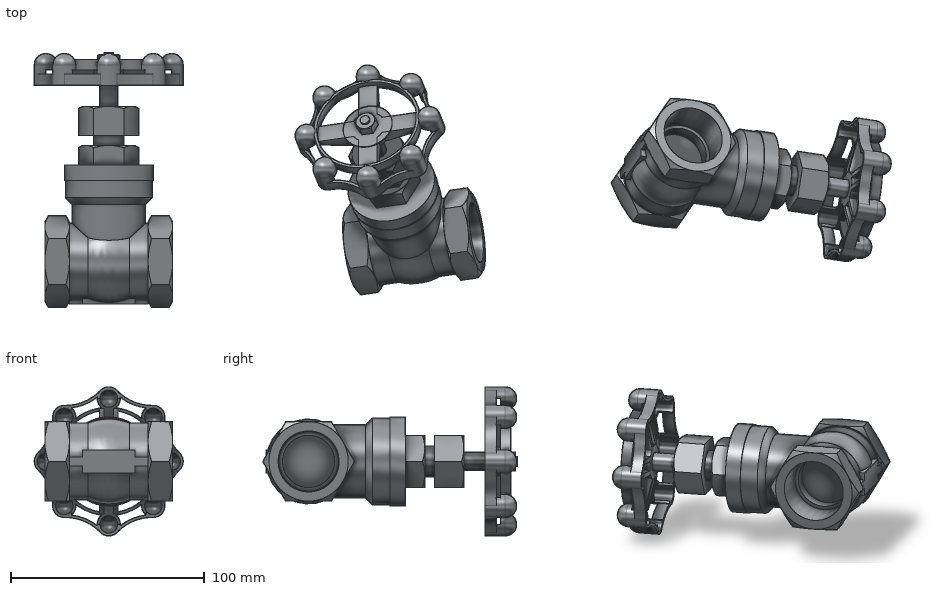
import cadquery as cq
import math


pipe_length = 66.0
pipe_diameter = 39.8
pipe_hex_flats = 41.0
pipe_hex_length = 12.7
bulge_length = 21.4
bulge_diameter = 43.9

thread_mouth_diameter = 31.5
thread_end_diameter = 30.5
thread_depth = 19.5
seat_diameter = 27.0
gate_thickness = 12.0

plate_height = 22.0
plate_length = 27.3
plate_width = 12.0
plate_strip_width = 4.6

neck_diameter = 38.0
collar_diameter = 45.0
collar_start_y = 33.0
flange_diameter = 46.0
flange_start_y = 42.0
flange_end_y = 50.0

nut_flats = 27.0
bonnet_nut_end_y = 60.0
gland_neck_diameter = 16.0
gland_nut_start_y = 65.0
gland_nut_end_y = 80.2
stem_diameter = 9.5
nut_chamfer_angle = 30.0

wheel_start_y = 91.0
rim_end_y = 97.0
ring_start_y = 99.0
ring_end_y = 104.5
ring_outer_diameter = 56.0
ring_inner_diameter = 53.0
wall = 1.5
knob_count = 8
knob_radius = 6.0
knob_circle_radius = 32.5
knob_dome_y = 101.5
rim_arc_radius = 25.0
spoke_count = 4
spoke_width = 9.7
spoke_channel_width = 4.7
spoke_tip_y = 98.5
hub_diameter = 18.0
hub_start_y = 94.0
hub_end_y = 101.5

washer_diameter = 26.0
washer_thickness = 0.5
wheel_nut_flats = 10.0
wheel_nut_end_y = 106.9
stem_tip_diameter = 5.0
stem_tip_y = 108.0


def level(y):
    """Workplane at height y on the stem axis, with local axes X and Z."""
    return cq.Workplane("XZ", origin=(0, y, 0))


def disc(diameter, start_y, end_y):
    return level(start_y).circle(diameter / 2).extrude(start_y - end_y)


def hex_nut(flats, start_y, end_y, chamfered_faces):
    """Hexagon along Y with corners on X; the named end faces get turned chamfers."""
    corner_diameter = 2 * flats / math.sqrt(3)
    chamfer_radial = (corner_diameter - flats) / 2
    chamfer_axial = chamfer_radial * math.tan(math.radians(nut_chamfer_angle))
    hexagon = level(start_y).polygon(6, corner_diameter).extrude(start_y - end_y)
    turned = disc(corner_diameter, start_y, end_y)
    for face in chamfered_faces:
        lip = disc(corner_diameter, start_y, end_y).faces(face).edges()
        turned = turned.intersect(lip.chamfer(chamfer_axial, chamfer_radial))
    return hexagon.intersect(turned)


def pipe_body():
    half_bulge = bulge_length / 2
    hex_start = pipe_length / 2 - pipe_hex_length
    profile = (
        cq.Workplane("XY")
        .moveTo(-hex_start, 0)
        .lineTo(-hex_start, pipe_diameter / 2)
        .lineTo(-half_bulge, pipe_diameter / 2)
        .threePointArc((0, bulge_diameter / 2), (half_bulge, pipe_diameter / 2))
        .lineTo(hex_start, pipe_diameter / 2)
        .lineTo(hex_start, 0)
        .close()
    )
    body = profile.revolve(360, (0, 0, 0), (1, 0, 0))
    for side in (90, -90):
        pipe_hex = hex_nut(pipe_hex_flats, hex_start, pipe_length / 2, ("<Y", ">Y"))
        body = body.union(pipe_hex.rotate((0, 0, 0), (0, 0, 1), side))

    plate = cq.Workplane("XY").box(plate_length, plate_height, plate_width)
    strip = cq.Workplane("XY").box(2 * hex_start, plate_height, plate_strip_width)
    return body.union(plate.union(strip).translate((0, -plate_height / 2, 0)))


def pipe_bore():
    """Cavity at the +X end: tapered thread, then the seat bore down to the gate."""
    mouth_x = pipe_length / 2
    seat_x = mouth_x - thread_depth
    gate_x = gate_thickness / 2
    profile = cq.Workplane("XY").polyline([
        (gate_x, 0),
        (gate_x, seat_diameter / 2),
        (seat_x, seat_diameter / 2),
        (seat_x, thread_end_diameter / 2),
        (mouth_x, thread_mouth_diameter / 2),
        (mouth_x, 0),
    ])
    return profile.close().revolve(360, (0, 0, 0), (1, 0, 0))


def bonnet():
    cone_height = (collar_diameter - neck_diameter) / 2
    collar = disc(collar_diameter, collar_start_y - cone_height, flange_start_y)
    collar = collar.faces("<Y").edges().chamfer(cone_height)
    return (
        disc(neck_diameter, 0, collar_start_y)
        .union(collar)
        .union(disc(flange_diameter, flange_start_y, flange_end_y))
        .union(hex_nut(nut_flats, flange_end_y, bonnet_nut_end_y, (">Y",)))
        .union(disc(gland_neck_diameter, bonnet_nut_end_y, gland_nut_start_y))
        .union(hex_nut(nut_flats, gland_nut_start_y, gland_nut_end_y, (">Y",)))
    )


def stem():
    washer_end_y = hub_end_y + washer_thickness
    return (
        disc(stem_diameter, gland_nut_end_y, hub_end_y)
        .union(disc(washer_diameter, hub_end_y, washer_end_y))
        .union(hex_nut(wheel_nut_flats, washer_end_y, wheel_nut_end_y, (">Y",)))
        .union(disc(stem_tip_diameter, wheel_nut_end_y, stem_tip_y))
    )


def domed_pin(radius):
    """Round-ended pin on the knob axis at +X, standing on the wheel's underside."""
    pin = disc(2 * radius, wheel_start_y, knob_dome_y)
    dome = cq.Workplane("XY").sphere(radius).translate((0, knob_dome_y, 0))
    return pin.union(dome).translate((knob_circle_radius, 0, 0))


def knob_opening():
    """Space that opens the inward half of a knob below the ring."""
    height = ring_start_y - wheel_start_y
    opening = cq.Workplane("XY").box(knob_radius, height, 2 * knob_radius, centered=(False, False, True))
    return opening.translate((knob_circle_radius - knob_radius, wheel_start_y, 0))


def rim_bay():
    """Concave rim wall joining the knob at +X to the next one, tangent to both."""
    half_pitch = math.pi / knob_count
    reach = rim_arc_radius + knob_radius
    half_gap = knob_circle_radius * math.sin(half_pitch)
    centre_distance = knob_circle_radius * math.cos(half_pitch) + math.sqrt(reach**2 - half_gap**2)
    half_sweep = math.asin(half_gap / reach)

    def arc_point(radius, angle):
        """Point in bay axes, turned from the bay's centre line to the wheel's axes."""
        along = centre_distance - radius * math.cos(angle)
        across = radius * math.sin(angle)
        x = along * math.cos(half_pitch) - across * math.sin(half_pitch)
        z = along * math.sin(half_pitch) + across * math.cos(half_pitch)
        return (x, z)

    inner_radius = rim_arc_radius + wall
    return (
        level(wheel_start_y)
        .moveTo(*arc_point(rim_arc_radius, -half_sweep))
        .threePointArc(arc_point(rim_arc_radius, 0), arc_point(rim_arc_radius, half_sweep))
        .lineTo(*arc_point(inner_radius, half_sweep))
        .threePointArc(arc_point(inner_radius, 0), arc_point(inner_radius, -half_sweep))
        .close()
        .extrude(wheel_start_y - rim_end_y)
    )


def spoke():
    """Flat web along +X with two ribs under it that deepen toward the hub."""
    tip_x = (ring_inner_diameter + ring_outer_diameter) / 4
    hub_x = hub_diameter / 2
    profile = cq.Workplane("XY").polyline([
        (0, hub_end_y),
        (tip_x, hub_end_y),
        (tip_x, spoke_tip_y),
        (hub_x, hub_start_y),
        (0, hub_start_y),
    ])
    bar = profile.close().extrude(spoke_width / 2, both=True)
    channel_depth = ring_start_y - hub_start_y
    channel = cq.Workplane("XY").box(
        2 * tip_x, channel_depth, spoke_channel_width, centered=(False, False, True)
    )
    return bar.cut(channel.translate((0, hub_start_y, 0)))


def around_stem(shape, count):
    """Copies of a shape spread evenly around the stem axis."""
    copies = shape
    for index in range(1, count):
        copies = copies.union(shape.rotate((0, 0, 0), (0, 1, 0), index * 360 / count))
    return copies


def handwheel():
    ring = disc(ring_outer_diameter, ring_start_y, ring_end_y)
    ring = ring.cut(disc(ring_inner_diameter, ring_start_y, ring_end_y))
    knob = domed_pin(knob_radius).cut(knob_opening())
    wheel = around_stem(knob.union(rim_bay()), knob_count)
    wheel = wheel.union(ring).union(around_stem(spoke(), spoke_count))
    wheel = wheel.cut(around_stem(domed_pin(knob_radius - wall), knob_count))
    return wheel.union(disc(hub_diameter, hub_start_y, hub_end_y))


bore = pipe_bore()
valve = pipe_body().union(bonnet()).union(stem()).union(handwheel())
result = valve.cut(bore).cut(bore.mirror("YZ"))